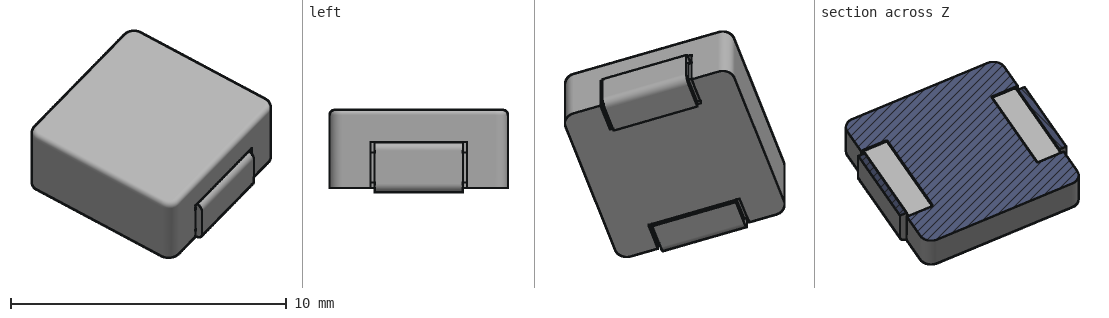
import cadquery as cq

overall_length = 6.86
overall_height = 3.0

body_side = 6.47
body_standoff = 0.16
body_corner_radius = 0.45
body_top_radius = 0.2

terminal_width = 3.205
terminal_height = 1.805
terminal_reach = 1.27
terminal_thickness = 0.295
bend_outer_radius = terminal_thickness

recess_side_gap = 0.145
recess_top_gap = 0.03
leg_gap = 0.06
recess_width = terminal_width + 2 * recess_side_gap
recess_height = terminal_height + recess_top_gap

terminal_turns = (0, 180)


def block(start, bottom, length, width, height):
    """Box centred on Y whose -X side lies `start` inside the outer face of the -X terminal."""
    return (
        cq.Workplane("XY")
        .box(length, width, height, centered=(False, True, False))
        .translate((start - overall_length / 2, 0, bottom))
    )


def make_tongue(width, gap):
    """Block that lies behind the -X terminal's plate, `gap` away from each of its legs."""
    return block(
        terminal_thickness,
        terminal_thickness + gap,
        terminal_reach - terminal_thickness,
        width,
        terminal_height - 2 * (terminal_thickness + gap),
    )


def make_terminal():
    """Terminal on the -X side: an upright plate with a leg at its top and its bottom."""
    blank = block(0, 0, terminal_reach, terminal_width, terminal_height)
    blank = blank.edges("|Y and <X").fillet(bend_outer_radius)
    return blank.cut(make_tongue(terminal_width, 0))


def make_recess():
    """Space left in the body for the -X terminal, open to the side and the bottom."""
    pocket = block(0, 0, terminal_reach, recess_width, recess_height)
    return pocket.cut(make_tongue(recess_width, leg_gap))


def turned(shape, angle):
    """Turn a shape about the vertical centre line."""
    return shape.rotate((0, 0, 0), (0, 0, 1), angle)


def make_body():
    """Square block with rounded corners and top rim, recessed for both terminals."""
    body = (
        cq.Workplane("XY")
        .workplane(offset=body_standoff)
        .rect(body_side, body_side)
        .extrude(overall_height - body_standoff)
        .edges("|Z")
        .fillet(body_corner_radius)
        .faces(">Z")
        .edges()
        .fillet(body_top_radius)
    )
    for turn in terminal_turns:
        body = body.cut(turned(make_recess(), turn))
    return body


body = make_body()
terminals = []
for turn in terminal_turns:
    terminals.append(turned(make_terminal(), turn).val())

result = cq.Compound.makeCompound([body.val(), *terminals])